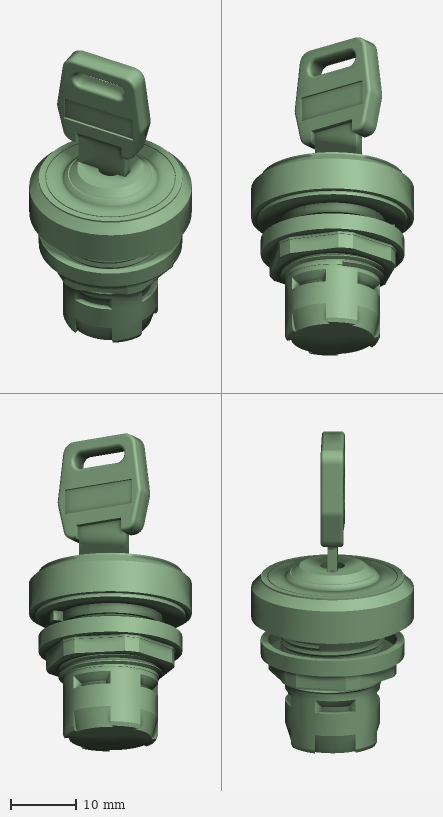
import cadquery as cq
import math

pocket_top_z = 3.05
window_bottom_z = 6.65
window_roof_z = 7.4
window_top_z = 8.65
thread_core_bottom_z = 9.4
thread_bottom_z = 9.65
nut_bottom_z = 11.2
nut_step_z = 13.45
nut_top_z = 13.8
washer_floor_z = 14.4
washer_top_z = 16.3
thread_top_z = 17.25
shoulder_bottom_z = 17.75
seat_bottom_z = 19.25
bezel_bottom_z = 19.85
bezel_chamfer_z = 24.75
bezel_rim_z = 26.1
bezel_top_z = 26.37
collar_top_z = 27.1
plug_top_z = 28.15

body_dia = 14.55
thread_core_dia = 14.8
thread_dia = 15.95
shoulder_dia = 16.0
seat_dia = 23.0
bezel_dia = 24.9
bezel_top_dia = 22.0
ring_groove_outer_dia = 20.0
ring_groove_inner_dia = 19.7
ring_groove_depth = 0.2
collar_base_dia = 14.65
collar_top_dia = 13.05
plug_dia = 12.65
plug_top_dia = 10.2
bottom_chamfer = 0.3
bottom_chamfer_height = 0.6

thread_pitch = 1.0
thread_start_angle = 180
ridge_base = 0.95
ridge_crest = 0.1
ridge_embed = 0.15

washer_dia = 22.0
washer_recess_dia = 19.7
nut_flats = 18.05
nut_corner_dia = 19.7
nut_step_offset = 0.12

tab_width = 1.62
tab_reach = 9.55
shoulder_groove_width = 0.5
shoulder_groove_depth = 0.15
shoulder_groove_margin = 0.25

diagonal_angles = [45, 135, 225, 315]
recess_width = 6.2
recess_floor_dia = 12.65
window_floor_width = 4.2

key_angle = 40
key_offset = -1.15
handle_bottom_z = 32.3
handle_wide_z = 38.35
handle_top_z = 47.8
handle_bottom_half = 5.95
handle_wide_half = 7.4
handle_top_half = 6.15
handle_thickness = 3.5
handle_bottom_radius = 1.8
handle_top_radius = 2.0
handle_side_radius = 1.9
handle_edge_radius = 0.5
eye_length = 8.9
eye_height = 2.55
eye_z = 44.6
label_length = 12.05
label_height = 3.85
label_z = 38.3
label_depth = 0.4
blade_width = 8.05
blade_thickness = 1.5
blade_bottom_z = 23.9
notch_top_z = 34.35
keyway_width = 1.65
keyway_start = -5.4
keyway_end = 3.05
keyway_floor_z = 27.8
keyhole_dia = 3.77
keyhole_floor_z = 27.2


def disc(dia, bottom_z, top_z):
    return cq.Workplane("XY").workplane(offset=bottom_z).circle(dia / 2).extrude(top_z - bottom_z)


def block(x_size, y_size, bottom_z, top_z):
    return (
        cq.Workplane("XY").workplane(offset=bottom_z).rect(x_size, y_size).extrude(top_z - bottom_z)
    )


def turned(points):
    """Revolve a (radius, height) outline about the Z axis."""
    return cq.Workplane("XZ").polyline(points).close().revolve(360, (0, 0), (0, 1))


def about_z(shape, angle):
    return shape.rotate((0, 0, 0), (0, 0, 1), angle)


def make_barrel():
    """Plain lower end below the thread."""
    return turned([
        (0, 0),
        (body_dia / 2 - bottom_chamfer, 0),
        (body_dia / 2, bottom_chamfer_height),
        (body_dia / 2, thread_core_bottom_z),
        (0, thread_core_bottom_z),
    ])


def make_head():
    """Shoulder, bezel, collar and key plug above the thread."""
    head = turned([
        (0, shoulder_bottom_z),
        (shoulder_dia / 2, shoulder_bottom_z),
        (shoulder_dia / 2, seat_bottom_z),
        (seat_dia / 2, seat_bottom_z),
        (seat_dia / 2, bezel_bottom_z),
        (bezel_dia / 2, bezel_bottom_z),
        (bezel_dia / 2, bezel_chamfer_z),
        (bezel_top_dia / 2, bezel_rim_z),
        (bezel_top_dia / 2, bezel_top_z),
        (collar_base_dia / 2, bezel_top_z),
        (collar_top_dia / 2, collar_top_z),
        (plug_dia / 2, collar_top_z),
        (plug_top_dia / 2, plug_top_z),
        (0, plug_top_z),
    ])
    ring_groove = disc(ring_groove_outer_dia, bezel_top_z - ring_groove_depth, bezel_top_z).cut(
        disc(ring_groove_inner_dia, bezel_top_z - ring_groove_depth, bezel_top_z)
    )
    return head.cut(ring_groove)


def make_threaded_core():
    """Round core with a helical ridge, between the barrel and the shoulder."""
    core = disc(thread_core_dia, thread_core_bottom_z, shoulder_bottom_z)
    root_radius = thread_core_dia / 2 - ridge_embed
    height = thread_top_z - thread_bottom_z
    path = cq.Wire.makeHelix(thread_pitch, height, root_radius)
    ridge = (
        cq.Workplane("XZ")
        .polyline([
            (root_radius, -ridge_base / 2),
            (thread_dia / 2, -ridge_crest / 2),
            (thread_dia / 2, ridge_crest / 2),
            (root_radius, ridge_base / 2),
        ])
        .close()
        .sweep(cq.Workplane(obj=path), isFrenet=True)
    )
    ridge = about_z(ridge, thread_start_angle).translate((0, 0, thread_bottom_z))
    return core.union(ridge)


def nut_slice(offset, bottom_z, top_z):
    """Hexagon with rounded-off corners, flats facing +Y and -Y."""
    corner_to_corner = (nut_flats + 2 * offset) / math.cos(math.pi / 6)
    hexagon = (
        cq.Workplane("XY")
        .workplane(offset=bottom_z)
        .polygon(6, corner_to_corner)
        .extrude(top_z - bottom_z)
    )
    return hexagon.intersect(disc(nut_corner_dia + 2 * offset, bottom_z, top_z))


def make_washer_and_nut():
    washer = disc(washer_dia, nut_top_z, washer_top_z).cut(
        disc(washer_recess_dia, washer_floor_z, washer_top_z)
    )
    nut = nut_slice(0, nut_bottom_z, nut_step_z)
    nut_step = nut_slice(nut_step_offset, nut_step_z, nut_top_z)
    return washer.union(nut).union(nut_step)


def make_tab():
    """Locating tab on the -Y side of the shoulder."""
    return block(tab_width, tab_reach, shoulder_bottom_z, seat_bottom_z).translate(
        (0, -tab_reach / 2, 0)
    )


def make_shoulder_groove():
    bottom_z = shoulder_bottom_z + shoulder_groove_margin
    return block(
        2 * shoulder_groove_depth, shoulder_groove_width, bottom_z, seat_bottom_z
    ).translate((shoulder_dia / 2, 0, 0))


def chord_distance(dia, width):
    """Distance from the axis to a chord of the given width."""
    return math.sqrt((dia / 2) ** 2 - (width / 2) ** 2)


def make_window():
    """Recess facing +X with a round floor, flared sides and a sloping roof."""
    floor_radius = recess_floor_dia / 2
    body_radius = body_dia / 2
    depth = body_radius - floor_radius
    far_x = body_radius + depth
    ring = turned([
        (floor_radius, window_bottom_z),
        (far_x, window_bottom_z),
        (far_x, 2 * window_top_z - window_roof_z),
        (floor_radius, window_roof_z),
    ])
    inner_x = chord_distance(recess_floor_dia, window_floor_width)
    outer_x = chord_distance(body_dia, recess_width)
    flare = (recess_width - window_floor_width) / 2 / (outer_x - inner_x)
    far_half = recess_width / 2 + flare * (far_x - outer_x)
    apex_x = inner_x - window_floor_width / 2 / flare
    wedge = (
        cq.Workplane("XY")
        .polyline([(apex_x, 0), (far_x, far_half), (far_x, -far_half)])
        .close()
        .extrude(plug_top_z)
    )
    return ring.intersect(wedge)


def make_pocket():
    """Recess facing +X at the bottom end, deepening downwards along a cone."""
    body_radius = body_dia / 2
    ring = turned([
        (recess_floor_dia / 2, 0),
        (bezel_dia / 2, 0),
        (bezel_dia / 2, pocket_top_z),
        (body_radius, pocket_top_z),
    ])
    slab = block(bezel_dia, recess_width, 0, pocket_top_z).translate((bezel_dia / 2, 0, 0))
    return ring.intersect(slab)


def make_keyhole():
    """Slot for the blade across the plug, with a round hole at its axis."""
    length = keyway_end - keyway_start
    slot = block(length, keyway_width, keyway_floor_z, plug_top_z)
    slot = slot.translate((keyway_start + length / 2, 0, 0))
    return about_z(slot, key_angle).union(disc(keyhole_dia, keyhole_floor_z, plug_top_z))


def make_handle():
    half_thickness = handle_thickness / 2
    handle = (
        cq.Workplane("XZ")
        .polyline([
            (-handle_bottom_half, handle_bottom_z),
            (handle_bottom_half, handle_bottom_z),
            (handle_wide_half, handle_wide_z),
            (handle_top_half, handle_top_z),
            (-handle_top_half, handle_top_z),
            (-handle_wide_half, handle_wide_z),
        ])
        .close()
        .extrude(half_thickness, both=True)
    )
    handle = handle.edges("|Y").edges("<X or >X").fillet(handle_side_radius)
    handle = handle.edges("|Y").edges("<Z").fillet(handle_bottom_radius)
    handle = handle.edges("|Y").edges(">Z").fillet(handle_top_radius)
    eye = (
        cq.Workplane("XZ")
        .center(0, eye_z)
        .slot2D(eye_length, eye_height)
        .extrude(half_thickness, both=True)
    )
    handle = handle.cut(eye).faces("<Y or >Y").edges().fillet(handle_edge_radius)

    label_floor = half_thickness - label_depth
    notch_floor = blade_thickness / 2
    for side in (1, -1):
        label = cq.Workplane("XY").box(label_length, label_depth, label_height)
        label = label.translate((0, side * (label_floor + label_depth / 2), label_z))
        notch_depth = half_thickness - notch_floor
        notch = block(blade_width, notch_depth, handle_bottom_z, notch_top_z)
        notch = notch.translate((0, side * (notch_floor + notch_depth / 2), 0))
        handle = handle.cut(label).cut(notch)
    return handle


def make_key():
    blade = block(blade_width, blade_thickness, blade_bottom_z, notch_top_z)
    key = make_handle().union(blade).translate((key_offset, 0, 0))
    return about_z(key, key_angle)


result = make_threaded_core().union(make_barrel()).union(make_head())
result = result.union(make_washer_and_nut()).union(make_tab()).cut(make_keyhole())
for angle in diagonal_angles:
    result = result.cut(about_z(make_shoulder_groove(), angle))
    result = result.cut(about_z(make_window(), angle))
    result = result.cut(about_z(make_pocket(), angle))
result = result.union(make_key())